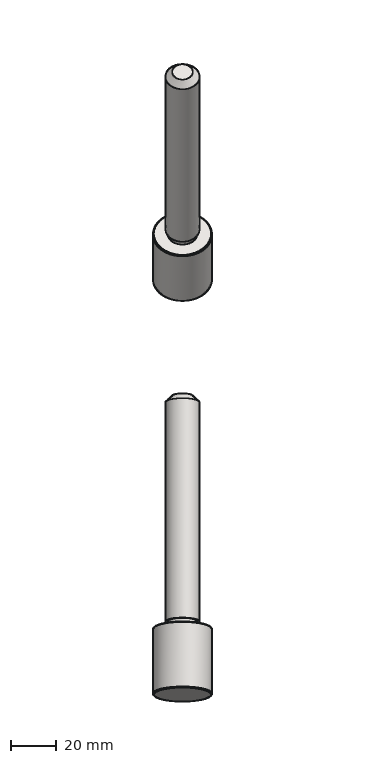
import cadquery as cq

total_length = 135.0
head_diameter = 26.0
head_length = 30.0
head_chamfer = 0.5
neck_diameter = 13.0
neck_length = 3.0
shank_diameter = 15.0
tip_chamfer = 3.0

shank_bottom = head_length + neck_length
shank_length = total_length - shank_bottom


def cylinder(diameter, bottom, length):
    """Upright cylinder on the Z axis, starting at height bottom."""
    return cq.Workplane("XY").workplane(offset=bottom).circle(diameter / 2).extrude(length)


def make_head():
    """Head with both rims chamfered."""
    head = cylinder(head_diameter, 0, head_length)
    return head.faces("<Z or >Z").edges().chamfer(head_chamfer)


def make_neck():
    """Relief neck between head and shank."""
    return cylinder(neck_diameter, head_length, neck_length)


def make_shank():
    """Long plain shank with a chamfered tip."""
    shank = cylinder(shank_diameter, shank_bottom, shank_length)
    return shank.faces(">Z").edges().chamfer(tip_chamfer)


result = make_head().union(make_neck()).union(make_shank())